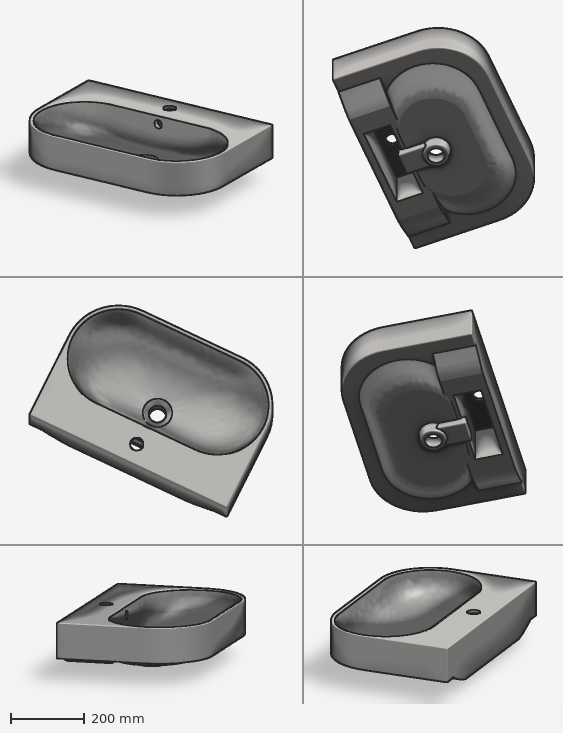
import cadquery as cq
import math


WIDTH = 600.0
DEPTH = 400.0
BODY_HEIGHT = 100.0
CORNER_RADIUS = 150.0
EDGE_RADIUS = 4.0
CORNER_X = WIDTH / 2 - CORNER_RADIUS
CORNER_Y = -DEPTH + CORNER_RADIUS

RIM_WIDTH = 7.0
OPENING_RADIUS = CORNER_RADIUS - RIM_WIDTH
RIM_ROUND = 4.0
RIM_DEPTH = 4.5
BASIN_RADIUS = OPENING_RADIUS - RIM_ROUND

DRAIN_Y = -184.0
DRAIN_BOTTOM_Z = -160.0
DRAIN_TOP_RADIUS = 40.0
DRAIN_BOTTOM_RADIUS = 35.5
DRAIN_ROUND = 4.0
DRAIN_HOLE_RADIUS = 23.5
FUNNEL_LIP_RADIUS = 40.0
FUNNEL_LIP_HEIGHT = 1.5
FUNNEL_RADIUS = 36.5
FUNNEL_BOTTOM_Z = -121.0
FLOOR_Z = -109.5
FLOOR_END_RADIUS = 38.0

CAVITY_LEVELS = [
    (-RIM_DEPTH, CORNER_X + BASIN_RADIUS, CORNER_Y + BASIN_RADIUS, CORNER_Y - BASIN_RADIUS),
    (-45.0, 274.0, -113.0, -378.0),
    (-80.0, 238.0, -117.0, -351.0),
    (-98.0, 190.0, -126.0, -312.0),
    (-105.0, 135.0, -135.0, -270.0),
    (-108.0, 85.0, -141.0, -240.0),
    (FLOOR_Z, FLOOR_END_RADIUS, DRAIN_Y + FLOOR_END_RADIUS, DRAIN_Y - FLOOR_END_RADIUS),
]

BOWL_BOTTOM_Z = -130.0
BOWL_TOP_HALF_WIDTH = 256.0
BOWL_SEAM_Z = -116.5
BOWL_SEAM_HALF_WIDTH = 218.0
BOWL_SEAM_LEVEL = (BOWL_SEAM_Z, BOWL_SEAM_HALF_WIDTH, -100.0, -335.0)
BOWL_UPPER_LEVELS = [
    (-90.0, 277.0, -85.0, -370.0),
    (-BODY_HEIGHT, BOWL_TOP_HALF_WIDTH, -90.0, -358.0),
    BOWL_SEAM_LEVEL,
]
BOWL_LOWER_LEVELS = [
    BOWL_SEAM_LEVEL,
    (-124.0, 199.0, -104.0, -323.0),
    (-128.5, 181.0, -108.0, -311.0),
    (BOWL_BOTTOM_Z, 165.0, -112.0, -298.0),
]
SECTION_POINTS = 32

BLOCK_DEPTH = 122.0
BLOCK_BOTTOM_Z = -128.5
BLOCK_ROUND_HALF_WIDTH = 200.0
BLOCK_ROUND_Z = -123.2
BLOCK_BOTTOM_HALF_WIDTH = 178.0

DUCT_WIDTH = 67.0
DUCT_BACK_Y = -85.0
DUCT_BOTTOM_Z = -150.0
DUCT_ROUND = 4.0
OVERFLOW_RADIUS = 12.0
OVERFLOW_Z = -28.0

TAP_Y = -55.0
TAP_RADIUS = 18.0

DECK_THICKNESS = 10.0
POCKET_WIDTH = 240.0
POCKET_BACK_Y = -20.0
POCKET_FRONT_Y = -97.0

OVERLAP = 5.0


def stadium_point(fraction, half_width, radius):
    """Point at a fraction of the way around a stadium, starting at its back middle."""
    straight = half_width - radius
    arc = math.pi * radius
    travel = fraction * (4 * straight + 2 * arc)
    if travel <= straight:
        return travel, radius
    travel -= straight
    if travel <= arc:
        angle = math.pi / 2 - travel / radius
        return straight + radius * math.cos(angle), radius * math.sin(angle)
    travel -= arc
    if travel <= 2 * straight:
        return straight - travel, -radius
    travel -= 2 * straight
    if travel <= arc:
        angle = -math.pi / 2 - travel / radius
        return -straight + radius * math.cos(angle), radius * math.sin(angle)
    return travel - arc - straight, radius


def level_wire(level):
    """Smooth closed curve around one level of the bowl."""
    z, half_width, back_y, front_y = level
    radius = (back_y - front_y) / 2
    middle_y = (back_y + front_y) / 2
    points = []
    for index in range(SECTION_POINTS):
        x, y = stadium_point(index / SECTION_POINTS, half_width, radius)
        points.append(cq.Vector(x, middle_y + y, z))
    return cq.Wire.assembleEdges([cq.Edge.makeSpline(points, periodic=True)])


def bowl_solid(levels):
    """Solid that passes smoothly through the levels."""
    return cq.Workplane(cq.Solid.makeLoft([level_wire(level) for level in levels]))


def drain_cylinder(radius, bottom_z, top_z):
    return cq.Workplane("XY", origin=(0, DRAIN_Y, bottom_z)).circle(radius).extrude(top_z - bottom_z)


def make_apron():
    """Slab with a square back, two large round front corners and the rounded basin rim."""
    apron = cq.Workplane("XY", origin=(0, -DEPTH / 2, 0)).rect(WIDTH, DEPTH).extrude(-BODY_HEIGHT)
    apron = apron.edges("|Z and <Y").fillet(CORNER_RADIUS)
    apron = apron.edges("(|Z and >Y) or >Z or <Z").fillet(EDGE_RADIUS)
    rim = (
        cq.Workplane("XY", origin=(0, CORNER_Y, -RIM_DEPTH))
        .slot2D(2 * (CORNER_X + BASIN_RADIUS), 2 * BASIN_RADIUS)
        .extrude(RIM_DEPTH)
    )
    rim_edges = cq.selectors.BoxSelector(
        (-WIDTH / 2 + EDGE_RADIUS, -DEPTH + EDGE_RADIUS, -EDGE_RADIUS / 2),
        (WIDTH / 2 - EDGE_RADIUS, CORNER_Y + CORNER_RADIUS, EDGE_RADIUS / 2),
        boundingbox=True,
    )
    return apron.cut(rim).edges(rim_edges).fillet(RIM_ROUND)


def make_mounting_block():
    """Block along the wall, with curved ends that follow the bowl."""
    return (
        cq.Workplane("XZ")
        .moveTo(-BOWL_TOP_HALF_WIDTH, -BODY_HEIGHT + OVERLAP)
        .lineTo(BOWL_TOP_HALF_WIDTH, -BODY_HEIGHT + OVERLAP)
        .lineTo(BOWL_TOP_HALF_WIDTH, -BODY_HEIGHT)
        .lineTo(BOWL_SEAM_HALF_WIDTH, BOWL_SEAM_Z)
        .threePointArc((BLOCK_ROUND_HALF_WIDTH, BLOCK_ROUND_Z), (BLOCK_BOTTOM_HALF_WIDTH, BLOCK_BOTTOM_Z))
        .lineTo(-BLOCK_BOTTOM_HALF_WIDTH, BLOCK_BOTTOM_Z)
        .threePointArc((-BLOCK_ROUND_HALF_WIDTH, BLOCK_ROUND_Z), (-BOWL_SEAM_HALF_WIDTH, BOWL_SEAM_Z))
        .lineTo(-BOWL_TOP_HALF_WIDTH, -BODY_HEIGHT)
        .close()
        .extrude(BLOCK_DEPTH)
    )


def make_drain_spout():
    """Tapered spout below the bowl with a rounded lower edge."""
    spout = (
        cq.Workplane("XY", origin=(0, DRAIN_Y, DRAIN_BOTTOM_Z))
        .circle(DRAIN_BOTTOM_RADIUS)
        .workplane(offset=BOWL_BOTTOM_Z - DRAIN_BOTTOM_Z)
        .circle(DRAIN_TOP_RADIUS)
        .loft()
        .faces("<Z")
        .edges()
        .fillet(DRAIN_ROUND)
    )
    return spout.union(drain_cylinder(DRAIN_TOP_RADIUS, BOWL_BOTTOM_Z, BOWL_BOTTOM_Z + OVERLAP))


def make_overflow_duct():
    """Rounded box that runs forward into the drain spout."""
    length = DUCT_BACK_Y - DRAIN_Y
    height = BOWL_BOTTOM_Z + OVERLAP - DUCT_BOTTOM_Z
    return (
        cq.Workplane("XY")
        .box(DUCT_WIDTH, length, height, centered=(True, False, False))
        .edges("(|Z and >Y) or (<Z and (|Y or >Y))")
        .fillet(DUCT_ROUND)
        .translate((0, DRAIN_Y, DUCT_BOTTOM_Z))
    )


def make_cavity():
    """Basin hollow, from the rim down to the drain."""
    return bowl_solid(CAVITY_LEVELS)


def make_drain_passage():
    """Lip, funnel and through hole of the drain."""
    return (
        cq.Workplane("XZ", origin=(0, DRAIN_Y, 0))
        .moveTo(0, FLOOR_Z + OVERLAP)
        .lineTo(FUNNEL_LIP_RADIUS, FLOOR_Z + OVERLAP)
        .lineTo(FUNNEL_LIP_RADIUS, FLOOR_Z)
        .lineTo(FUNNEL_RADIUS, FLOOR_Z - FUNNEL_LIP_HEIGHT)
        .lineTo(DRAIN_HOLE_RADIUS, FUNNEL_BOTTOM_Z)
        .lineTo(DRAIN_HOLE_RADIUS, DRAIN_BOTTOM_Z)
        .lineTo(0, DRAIN_BOTTOM_Z)
        .close()
        .revolve(360, (0, 0, 0), (0, 1, 0))
    )


def make_overflow_hole():
    """Hole through the back wall of the basin into the pocket."""
    start_y = POCKET_FRONT_Y + OVERLAP
    end_y = CAVITY_LEVELS[1][2] - OVERLAP
    return (
        cq.Workplane("XZ", origin=(0, start_y, OVERFLOW_Z))
        .circle(OVERFLOW_RADIUS)
        .extrude(start_y - end_y)
    )


def make_pocket():
    """Hollow behind the basin, leaving a thin deck at the tap hole."""
    length = POCKET_BACK_Y - POCKET_FRONT_Y
    return (
        cq.Workplane("XY", origin=(0, (POCKET_BACK_Y + POCKET_FRONT_Y) / 2, -DECK_THICKNESS))
        .rect(POCKET_WIDTH, length)
        .extrude(BOWL_BOTTOM_Z + DECK_THICKNESS)
    )


def make_tap_hole():
    return cq.Workplane("XY", origin=(0, TAP_Y, 0)).circle(TAP_RADIUS).extrude(-DECK_THICKNESS)


body = make_apron()
body = body.union(bowl_solid(BOWL_UPPER_LEVELS))
body = body.union(bowl_solid(BOWL_LOWER_LEVELS))
body = body.union(make_mounting_block())
body = body.cut(make_pocket())
body = body.union(make_drain_spout())
body = body.union(make_overflow_duct())
body = body.cut(make_cavity())
body = body.cut(make_drain_passage())
body = body.cut(make_overflow_hole())
result = body.cut(make_tap_hole())